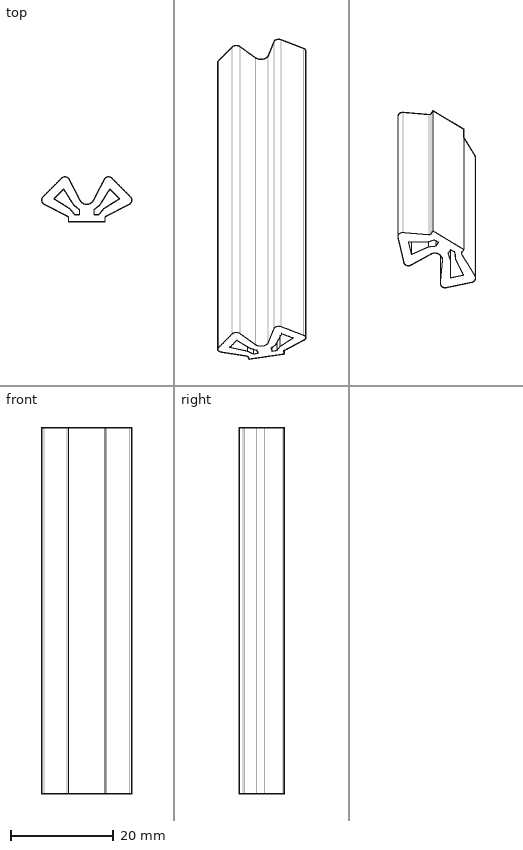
import cadquery as cq
import math

length = 71.7
base_half_width = 3.6
flank_slope = 1.93
flank_intercept = 1.7
leg_end_sum = 13.5
tip_radius = 0.9
base_corner_radius = 0.4
valley_floor = 3.45

cavity_corner = 1.4
cavity_root = 2.4
cavity_bend = (3.3, 2.6)
cavity_end = (6.4, 4.5)

top_x = (leg_end_sum - flank_intercept) / (flank_slope + 1)
top_corner = (top_x, leg_end_sum - top_x)
side_corner = (top_corner[1], top_corner[0])
base_shoulder = (base_half_width, (base_half_width - flank_intercept) / flank_slope)

flank_norm = math.hypot(flank_slope, 1)
valley_radius = (valley_floor - flank_intercept) / (flank_norm - 1)
valley_center_y = valley_floor + valley_radius
valley_end = (
    valley_radius * flank_slope / flank_norm,
    valley_center_y - valley_radius / flank_norm,
)


def mirrored(point):
    return (-point[0], point[1])


def swapped(point):
    """Reflect a point across the leg axis y = x."""
    return (point[1], point[0])


def round_edges(body, points, radius):
    """Fillet the lengthwise edges through the given points and their mirror images."""
    for x, y in points + [mirrored(p) for p in points]:
        edge = cq.selectors.NearestToPointSelector((x, y, length / 2))
        body = body.edges("|Z").edges(edge).fillet(radius)
    return body


def make_body():
    body = (
        cq.Workplane("XY")
        .moveTo(-base_half_width, 0)
        .lineTo(base_half_width, 0)
        .lineTo(*base_shoulder)
        .lineTo(*side_corner)
        .lineTo(*top_corner)
        .lineTo(*valley_end)
        .threePointArc((0, valley_floor), mirrored(valley_end))
        .lineTo(*mirrored(top_corner))
        .lineTo(*mirrored(side_corner))
        .lineTo(*mirrored(base_shoulder))
        .close()
        .extrude(length)
    )
    body = round_edges(body, [side_corner, top_corner], tip_radius)
    return round_edges(body, [base_shoulder], base_corner_radius)


def make_cavity():
    root_end = (cavity_root, cavity_corner)
    lower_side = [root_end, cavity_bend, cavity_end]
    upper_side = [swapped(p) for p in reversed(lower_side)]
    outline = [(cavity_corner, cavity_corner)] + lower_side + upper_side
    return cq.Workplane("XY").polyline(outline).close().extrude(length)


cavity = make_cavity()
result = make_body().cut(cavity).cut(cavity.mirror("YZ"))